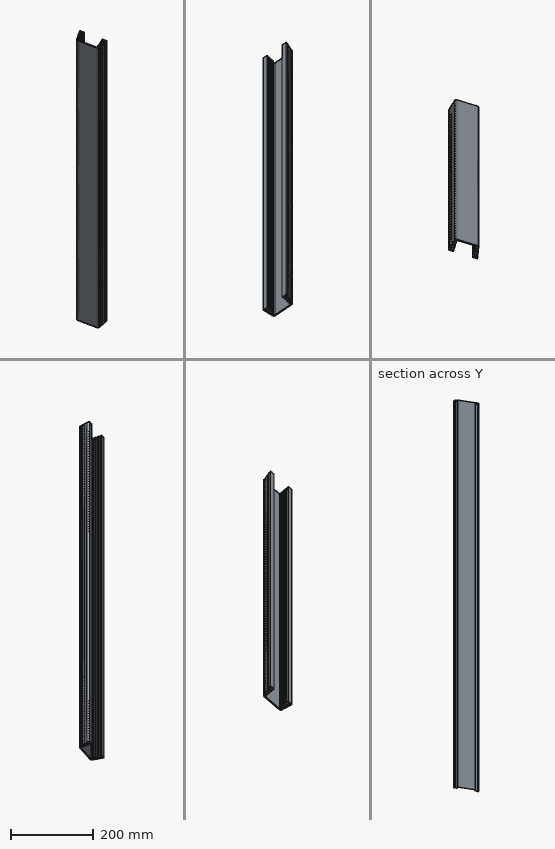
import cadquery as cq

LENGTH = 1000.0
WIDTH = 74.0
DEPTH = 33.0

FLOOR_THICKNESS = 3.0
FLAT_HALF_WIDTH = 26.0
CORNER_HALF_WIDTH = 31.0
CORNER_RISE = 3.0

SHOULDER_HALF_WIDTH = 32.0
SHOULDER_RISE = 5.0
PANEL_BOTTOM_RISE = 6.0
PANEL_TOP_RISE = 26.0
PANEL_RECESS = 1.0
PANEL_CURVE = [(33.0, 12.0), (35.0, 21.0)]
LIP_DRAFT = 0.5

INNER_WIDTH = 49.0
SLOT_COUNT = 4
SLOT_PITCH = 7.0
SLOT_WIDTH = 4.0
FIRST_SLOT_RISE = 4.0
SKIN_THICKNESS = 2.0

BOTTOM_Y = -DEPTH / 2
TOP_Y = DEPTH / 2
MOUTH_X = WIDTH / 2
LIP_BOTTOM_X = MOUTH_X - LIP_DRAFT
PANEL_BOTTOM_X = SHOULDER_HALF_WIDTH - PANEL_RECESS
PANEL_TOP_X = LIP_BOTTOM_X - PANEL_RECESS
FLOOR_Y = BOTTOM_Y + FLOOR_THICKNESS


def at(half_width, rise):
    """Section point at a half width from the centre plane and a rise above the base."""
    return (half_width, BOTTOM_Y + rise)


def slot_root_x(rise):
    """Half width of a slot root that leaves the skin thickness behind the panel."""
    points = [(PANEL_BOTTOM_X, PANEL_BOTTOM_RISE), *PANEL_CURVE, (PANEL_TOP_X, PANEL_TOP_RISE)]
    for (x0, rise0), (x1, rise1) in zip(points, points[1:]):
        if rise <= rise1:
            break
    share = (max(rise, PANEL_BOTTOM_RISE) - rise0) / (rise1 - rise0)
    return x0 + share * (x1 - x0) - SKIN_THICKNESS


def half_body():
    """The +X half of the channel, with a plain inner face."""
    return (
        cq.Workplane("XY")
        .moveTo(0, BOTTOM_Y)
        .lineTo(FLAT_HALF_WIDTH, BOTTOM_Y)
        .tangentArcPoint(at(CORNER_HALF_WIDTH, CORNER_RISE), relative=False)
        .lineTo(*at(SHOULDER_HALF_WIDTH, SHOULDER_RISE))
        .lineTo(*at(PANEL_BOTTOM_X, PANEL_BOTTOM_RISE))
        .spline(
            [at(*point) for point in PANEL_CURVE] + [at(PANEL_TOP_X, PANEL_TOP_RISE)],
            includeCurrent=True,
        )
        .lineTo(*at(LIP_BOTTOM_X, PANEL_TOP_RISE))
        .lineTo(MOUTH_X, TOP_Y)
        .lineTo(INNER_WIDTH / 2, TOP_Y)
        .lineTo(INNER_WIDTH / 2, FLOOR_Y)
        .lineTo(0, FLOOR_Y)
        .close()
        .extrude(LENGTH)
    )


def slot_cutter(rise):
    """Cutting block from the centre plane to a slot root, its lower side at the given rise."""
    root_x = slot_root_x(rise)
    return (
        cq.Workplane("XY")
        .moveTo(0, BOTTOM_Y + rise)
        .rect(root_x, SLOT_WIDTH, centered=False)
        .extrude(LENGTH)
    )


half = half_body()
for index in range(SLOT_COUNT):
    half = half.cut(slot_cutter(FIRST_SLOT_RISE + index * SLOT_PITCH))

result = half.union(half.mirror("YZ")).translate((0, 0, -LENGTH / 2))